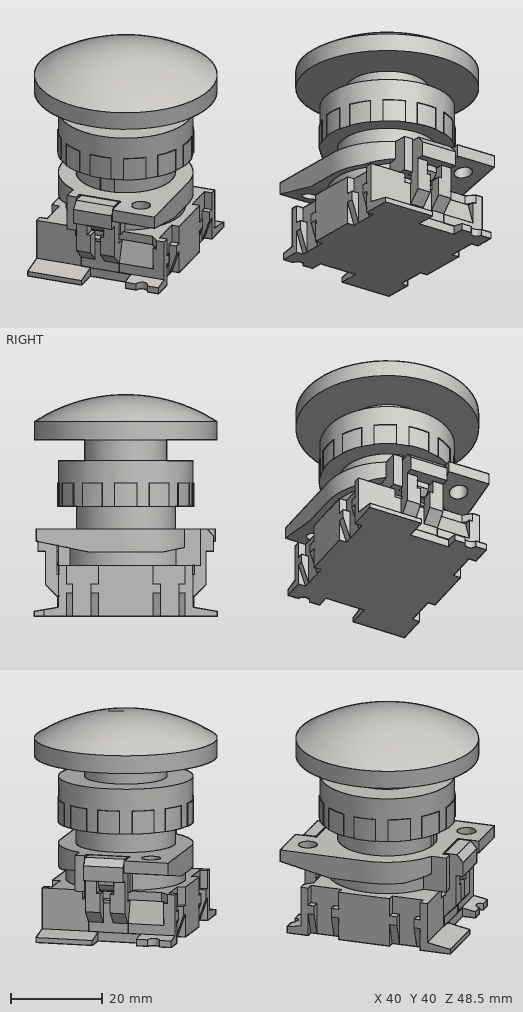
import cadquery as cq

base_top = 11.15
plate_top = 19.15
collar_bottom = 24.05
pad_top = 29.15
collar_top = 34.05
cap_bottom = 38.6
cap_rim_top = 42.6
cap_top = 48.5

cap_diameter = 40.0
stem_diameter = 18.05
dome_radius = 36.85
dome_flat_diameter = 0.95

collar_diameter = 29.5
pad_diameter = 29.8
pad_width = 4.95
pad_count = 12
barrel_diameter = 21.82
key_width = 3.5
key_depth = 0.82

neck_diameter = 26.2
plate_half_width = collar_diameter / 2
plate_half_length = 19.6
plate_thickness = 5.1
plate_end_thickness = 2.7
underside_flat = 8.05
hole_diameter = 4.05
hole_x = 9.7
hole_y = -14.95
guide_left = -7.2
recess_left = -5.0
recess_right = 4.8
guide_front = -16.3
tooth_tip_height = 12.8
tooth_reach = 1.4
tooth_right = 1.6

block_half_width = 15.05
block_front = -14.7
notch_left = -5.9
notch_right = 13.3
notch_floor = 9.15
notch_depth = 1.75
pocket_right = 12.45
pocket_bottom = 4.2
lip_reach = 0.25
pad_reach = 0.2
latch_pad_top = 8.6

foot_root_height = 2.05
foot_tip_height = 1.1
foot_front = -cap_diameter / 2
long_foot_right = -2.3
short_foot_left = 7.2
short_foot_front = -17.9
foot_notch_diameter = 2.7
foot_notch_x = 11.05
foot_notch_y = -18.15

latch_width = 8.9
latch_inner = -15.0
latch_outer = -17.55
head_outer = -19.2
head_bottom = 14.2
head_bevel_depth = 1.4
head_bevel_height = 1.65
taper_top = 6.95
window_width = 3.9
slot_width = 2.3

terminal_centre = 9.45
terminal_width = 7.1
throat_centre = 9.6
throat_width = 4.0
terminal_depth = 1.75
ledge_top = 7.15
ledge_bottom = 5.1


def cylinder(diameter, bottom, top):
    return cq.Workplane("XY").workplane(offset=bottom).circle(diameter / 2).extrude(top - bottom)


def box(x_range, y_range, z_range):
    sizes = [high - low for low, high in (x_range, y_range, z_range)]
    corner = (x_range[0], y_range[0], z_range[0])
    return cq.Workplane("XY").box(*sizes, centered=False).translate(corner)


def side_prism(points, x_range):
    """A (y, z) outline extruded along X."""
    outline = cq.Workplane("YZ").workplane(offset=x_range[0]).polyline(points).close()
    return outline.extrude(x_range[1] - x_range[0])


def unturned(shape):
    return shape


def half_turned(shape):
    return shape.rotate((0, 0, 0), (0, 0, 1), 180)


def make_head():
    """Domed cap on a round stem, revolved about the Z axis."""
    cap_radius = cap_diameter / 2
    stem_radius = stem_diameter / 2
    return (
        cq.Workplane("XZ")
        .moveTo(0, collar_top)
        .lineTo(stem_radius, collar_top)
        .lineTo(stem_radius, cap_bottom)
        .lineTo(cap_radius, cap_bottom)
        .lineTo(cap_radius, cap_rim_top)
        .radiusArc((dome_flat_diameter / 2, cap_top), -dome_radius)
        .lineTo(0, cap_top)
        .close()
        .revolve(360, (0, 0, 0), (0, 1, 0))
    )


def make_collar():
    """Collar with raised grip pads, on a barrel with a key groove down its whole length."""
    collar = cylinder(collar_diameter, collar_bottom, collar_top)
    grip_ring = cylinder(pad_diameter, collar_bottom, pad_top)
    bar = box(
        (-pad_diameter, pad_diameter), (-pad_width / 2, pad_width / 2), (collar_bottom, pad_top)
    )
    for index in range(pad_count // 2):
        turned_bar = bar.rotate((0, 0, 0), (0, 0, 1), index * 360 / pad_count)
        collar = collar.union(grip_ring.intersect(turned_bar))
    barrel_radius = barrel_diameter / 2
    key_groove = box(
        (-key_width / 2, key_width / 2),
        (-barrel_radius - key_depth, -barrel_radius + key_depth),
        (base_top, collar_bottom),
    )
    barrel = cylinder(barrel_diameter, base_top, collar_bottom).cut(key_groove)
    return collar.union(barrel)


def make_plate():
    """Round plate with two opposite square ears, its underside rising towards both ends."""
    bottom = plate_top - plate_thickness
    end_bottom = plate_top - plate_end_thickness
    ear = box((recess_right, plate_half_width), (-plate_half_length, 0), (bottom, plate_top))
    plan = cylinder(collar_diameter, bottom, plate_top).union(ear).union(half_turned(ear))
    profile = [
        (-plate_half_length, plate_top),
        (-plate_half_length, end_bottom),
        (-underside_flat, bottom),
        (underside_flat, bottom),
        (plate_half_length, end_bottom),
        (plate_half_length, plate_top),
    ]
    return plan.intersect(side_prism(profile, (-plate_half_width, plate_half_width)))


def make_flange():
    """Plate and neck around the barrel, with a latch seat at each end."""
    heights = (base_top, plate_top)
    flange = make_plate().union(cylinder(neck_diameter, base_top, plate_top))
    seat = box((guide_left, recess_right), (block_front, 0), heights)
    guide_arm = box((guide_left, recess_left), (guide_front, block_front), heights)
    seat = seat.union(guide_arm)
    recess = box((recess_left, recess_right), (-plate_half_length, block_front), heights)
    tooth_points = [
        (block_front, tooth_tip_height - tooth_reach),
        (block_front - tooth_reach, tooth_tip_height),
        (block_front - tooth_reach, head_bottom),
        (block_front, head_bottom),
    ]
    tooth = side_prism(tooth_points, (-window_width / 2, tooth_right))
    screw_hole = cylinder(hole_diameter, base_top, plate_top).translate((hole_x, hole_y, 0))
    for place in (unturned, half_turned):
        flange = flange.union(place(seat)).cut(place(recess)).cut(place(screw_hole))
        flange = flange.union(place(tooth))
    return flange.cut(cylinder(barrel_diameter, base_top, plate_top))


def make_end_cut():
    """Notch under the flange, with an oblique end wall, and the sloped pocket below it."""
    notch_back = block_front + notch_depth
    notch = (
        cq.Workplane("XY")
        .workplane(offset=notch_floor)
        .polyline([
            (notch_left, block_front),
            (notch_right, block_front),
            (notch_right - notch_depth, notch_back),
            (notch_left, notch_back),
        ])
        .close()
        .extrude(base_top - notch_floor)
    )
    pocket_points = [
        (block_front, pocket_bottom),
        (block_front, notch_floor),
        (notch_back, notch_floor),
    ]
    return notch.union(side_prism(pocket_points, (latch_width / 2, pocket_right)))


def make_feet():
    """Sloping long and short feet, joined by a low lip."""
    foot_points = [
        (block_front, 0),
        (foot_front, 0),
        (foot_front, foot_tip_height),
        (block_front, foot_root_height),
    ]
    long_foot = side_prism(foot_points, (-block_half_width, long_foot_right))
    short_foot = side_prism(foot_points, (short_foot_left, block_half_width))
    beyond_tip = box(
        (short_foot_left, block_half_width), (foot_front, short_foot_front), (0, foot_root_height)
    )
    foot_notch = cylinder(foot_notch_diameter, 0, foot_root_height)
    foot_notch = foot_notch.translate((foot_notch_x, foot_notch_y, 0))
    lip = box(
        (long_foot_right, short_foot_left), (block_front - lip_reach, block_front), (0, foot_root_height)
    )
    return long_foot.union(short_foot.cut(beyond_tip).cut(foot_notch)).union(lip)


def make_latch():
    """Hooked latch standing on a thin pad, split by a slot that widens into a window."""
    half_width = latch_width / 2
    pad_front = block_front - pad_reach
    pad = box((-half_width, half_width), (pad_front, block_front), (foot_root_height, latch_pad_top))
    latch_points = [
        (block_front, pocket_bottom),
        (pad_front, pocket_bottom),
        (latch_outer, taper_top),
        (latch_outer, head_bottom),
        (head_outer, head_bottom),
        (head_outer, plate_top - head_bevel_height),
        (head_outer + head_bevel_depth, plate_top),
        (latch_inner, plate_top),
        (latch_inner, notch_floor),
        (block_front, notch_floor),
    ]
    latch = side_prism(latch_points, (-half_width, half_width))
    cut_depth = (latch_outer, block_front)
    slot = box((-slot_width / 2, slot_width / 2), cut_depth, (pocket_bottom, base_top))
    window = box((-window_width / 2, window_width / 2), cut_depth, (base_top, head_bottom))
    return latch.cut(slot).cut(window).union(pad)


def make_terminal_slot(end):
    """Slot in the -X side towards the end -1 (-Y) or 1 (+Y), narrowed by two ledges sloping inwards below."""
    side = -block_half_width
    inner = side + terminal_depth
    slot_start = end * terminal_centre - terminal_width / 2
    slot_end = slot_start + terminal_width
    throat_start = end * throat_centre - throat_width / 2
    wide_part = box((side, inner), (slot_start, slot_end), (ledge_top, base_top))
    throat = box((side, inner), (throat_start, throat_start + throat_width), (0, ledge_top))
    undercut = (
        cq.Workplane("XZ", origin=(0, slot_end, 0))
        .polyline([(side, 0), (inner, 0), (side, ledge_bottom)])
        .close()
        .extrude(terminal_width)
    )
    return wide_part.union(throat).union(undercut)


def make_contact_block():
    """Block whose ends and sides repeat after half a turn about the Z axis."""
    block = box(
        (-block_half_width, block_half_width), (block_front, -block_front), (0, base_top)
    )
    end_cut = make_end_cut()
    end_parts = make_feet().union(make_latch())
    for place in (unturned, half_turned):
        block = block.cut(place(end_cut)).union(place(end_parts))
        for end in (-1, 1):
            block = block.cut(place(make_terminal_slot(end)))
    return block


head = make_head()
collar = make_collar()
flange = make_flange()
contact_block = make_contact_block()

result = cq.Compound.makeCompound(
    [head.val(), collar.val(), flange.val(), contact_block.val()]
)